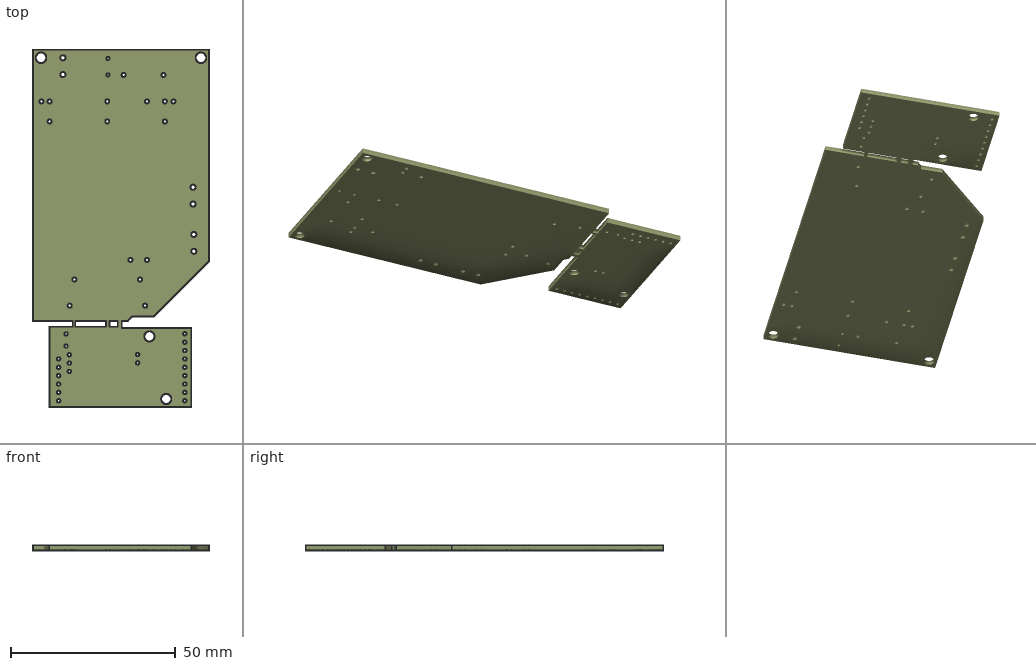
import cadquery as cq

width = 53.5
length = 108.5
thickness = 1.6

main_bottom = 26.1
relief_top = 27.5
relief_start = 28.8
corner_cut_start = 36.7
corner_cut = width - corner_cut_start
relief_rise = relief_top - main_bottom

small_left = 5.0
small_right = 48.1
small_top_left = 24.4
small_top_right = 24.1

tab_spans = [(12.0, 12.9), (22.1, 23.3), (25.7, 27.0)]

main_mount_diameter = 3.1
small_mount_diameter = 3.0
terminal_diameter = 1.5
lead_diameter = 1.2
header_diameter = 1.02
signal_diameter = 1.0
fine_lead_diameter = 0.9

mount_inset = 2.5
main_mounts = [(x, length - mount_inset) for x in (mount_inset, width - mount_inset)]
small_mounts = [(35.4, 21.5), (40.5, 2.5)]

terminals = [(9.1, 106.0), (9.1, 100.9)]
terminals += [(48.6, 66.7), (48.6, 61.6), (48.8, 52.4), (48.8, 47.3)]
upper_row = 92.8
lower_row = 86.7
leads = [(27.6, 100.8), (39.6, 100.8)]
leads += [(x, upper_row) for x in (2.6, 5.1, 22.6, 34.6, 40.0, 42.6)]
leads += [(x, lower_row) for x in (5.1, 22.6, 40.0)]
leads += [(29.6, 44.7), (34.6, 44.7), (12.6, 38.7), (32.5, 38.7), (11.2, 30.8), (34.1, 30.8)]
fine_leads = [(22.8, 105.8), (22.8, 100.8)]

pin_pitch = 2.54
header_bottom = 2.0
header_left = 7.8
header_right = 46.1


def pin_column(x, bottom, count):
    """Centres of a vertical row of equally spaced pins."""
    return [(x, bottom + i * pin_pitch) for i in range(count)]


header_pins = pin_column(header_left, header_bottom, 6)
header_pins += pin_column(header_right, header_bottom, 9)

signal_holes = pin_column(11.1, 10.8, 3)
signal_holes += pin_column(31.8, 13.5, 2)
signal_holes += [(10.1, 22.2), (10.1, 18.5)]


def plate(points):
    return cq.Workplane("XY").polyline(points).close().extrude(thickness)


def drill(board, centres, diameter):
    holes = cq.Workplane("XY").pushPoints(centres).circle(diameter / 2).extrude(thickness)
    return board.cut(holes)


main_board = plate([
    (0, main_bottom),
    (relief_start, main_bottom),
    (relief_start + relief_rise, relief_top),
    (corner_cut_start, relief_top),
    (width, relief_top + corner_cut),
    (width, length),
    (0, length),
])

top_step = tab_spans[-1][1]
small_board = plate([
    (small_left, 0),
    (small_right, 0),
    (small_right, small_top_right),
    (top_step, small_top_right),
    (top_step, small_top_left),
    (small_left, small_top_left),
])

result = main_board.union(small_board)

for left, right in tab_spans:
    tab = plate([
        (left, small_top_left),
        (right, small_top_left),
        (right, main_bottom),
        (left, main_bottom),
    ])
    result = result.union(tab)

for centres, diameter in [
    (main_mounts, main_mount_diameter),
    (small_mounts, small_mount_diameter),
    (terminals, terminal_diameter),
    (leads, lead_diameter),
    (fine_leads, fine_lead_diameter),
    (header_pins, header_diameter),
    (signal_holes, signal_diameter),
]:
    result = drill(result, centres, diameter)